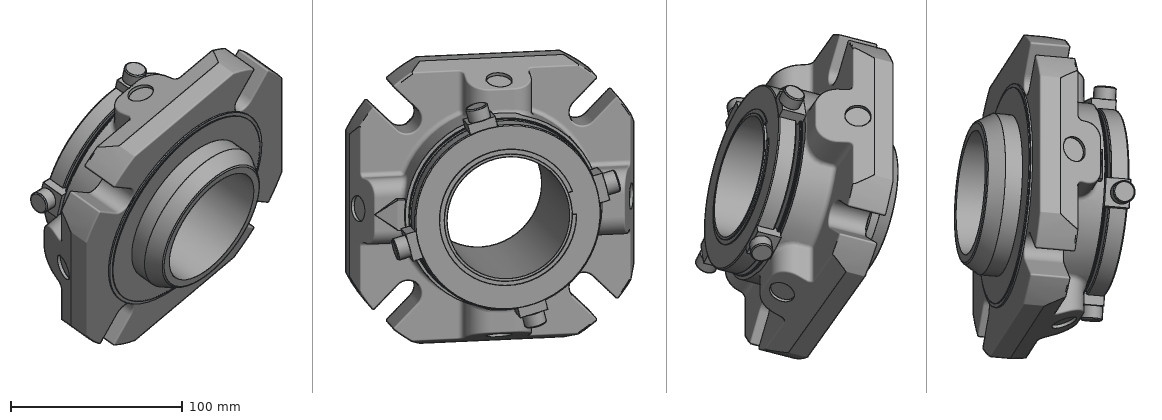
import cadquery as cq
import math

overall_length = 83.5
snap_ring_front = 0.8
clamp_front = 1.5
tab_front = 1.7
clamp_back = 12.7
lip_front = 14.5
lip_back = 16.1
tab_back = 16.6
body_front = 16.8
boss_front = 17.5
short_boss_front = 23.2
flange_front = 38.1
slope_end = 49.6
flange_back = 62.0
spigot_back = 63.0
gasket_back = 63.7
neck_taper_start = 73.9

bore_diameter = 73.0
sleeve_diameter = 76.2
snap_ring_diameter = 81.7
snap_ring_gap_angle = 20.0
clamp_diameter = 111.1
clamp_chamfer = 0.7
lip_diameter = 112.7
lip_chamfer = 0.5
groove_diameter = 110.1
body_diameter = 116.2
spigot_diameter = 131.5
gasket_diameter = 127.0
neck_diameter = 94.9
neck_end_diameter = 83.4
neck_end_chamfer = 0.7

flange_width = 169.5
flange_corner_diameter = 189.8
slope_angle = 20.0
slot_width = 16.6
slot_center_radius = 74.0
edge_round = 1.0

boss_width = 39.0
boss_corner_radius = 12.5
short_boss_corner_radius = 9.3
base_fillet = 2.9
port_diameter = 15.2
port_depth = 2.0
z_port_station = 27.3
y_port_station = 40.7

plate_front = 19.0
plate_base = 55.9
plate_shoulder = 62.0
plate_half_width = 9.1

tab_angle = 15.0
tab_width = 17.0
tab_inner_radius = 52.9
tab_outer_radius = 60.7
screw_diameter = 13.0
screw_station = 7.0
screw_top_radius = 68.6
screw_chamfer = 0.7

half_width = flange_width / 2
corner_radius = flange_corner_diameter / 2
slot_inner_radius = slot_center_radius - slot_width / 2
slope = math.tan(math.radians(slope_angle))
tolerance = 0.08


def disc(diameter, start, end):
    """Solid cylinder on the X axis between two stations."""
    return cq.Workplane("YZ").workplane(offset=start).circle(diameter / 2).extrude(end - start)


def turned(shape, angle):
    """Shape turned about the X axis, from +Z toward -Y for positive angles."""
    return shape.rotate((0, 0, 0), (1, 0, 0), angle)


def slope_height(station):
    """Distance of a sloping side from the X axis at a station."""
    return half_width - (slope_end - station) * slope


def boss(front, front_corner_radius):
    """Boss running from the X axis to the +Z side of the flange."""
    length = flange_back - front
    return (
        cq.Workplane("XY")
        .center(front + length / 2, 0)
        .rect(length, boss_width)
        .extrude(half_width)
        .edges("|Z and <X")
        .fillet(front_corner_radius)
    )


def side_cut():
    """Wedge that leaves the slope on the +Z side."""
    return (
        cq.Workplane("XZ")
        .moveTo(0, slope_height(0))
        .lineTo(slope_end, half_width)
        .lineTo(0, half_width)
        .close()
        .extrude(half_width, both=True)
    )


def bolt_slot():
    """Slot open toward +Z, with a round inner end."""
    length = flange_width
    return (
        cq.Workplane("YZ")
        .center(0, slot_center_radius + length / 2)
        .slot2D(length + slot_width, slot_width, 90)
        .extrude(overall_length)
    )


def port(station):
    """Round recess square to the +Z slope, centered at a station."""
    return (
        cq.Workplane("XY")
        .circle(port_diameter / 2)
        .extrude(port_depth, both=True)
        .rotate((0, 0, 0), (0, 1, 0), -slope_angle)
        .translate((station, 0, slope_height(station)))
    )


def edge_points(edge):
    """Start, middle and end of an edge."""
    return [edge.positionAt(t) for t in (0, 0.5, 1)]


def axis_distance(point):
    """Distance of a point from the X axis."""
    return math.hypot(point.y, point.z)


def at_station(points, station):
    """True when all points lie at one station."""
    return all(abs(p.x - station) < tolerance for p in points)


def is_base_edge(edge):
    """True for the inside corners between flange, body and bosses."""
    points = edge_points(edge)
    middle = points[1]
    if at_station(points, flange_front):
        inside_sides = max(abs(middle.y), abs(middle.z)) < half_width - tolerance
        return inside_sides and axis_distance(middle) < corner_radius - tolerance
    on_body = all(abs(axis_distance(p) - body_diameter / 2) < tolerance for p in points)
    return on_body and not at_station(points, 0) and not at_station(points, flange_back)


def is_outer_edge(edge):
    """True for edges to round: slopes, bosses, slots, slot mouths and both flange outlines."""
    points = edge_points(edge)
    start, middle, end = points
    heights = [max(abs(p.y), abs(p.z)) for p in points]
    on_slope = all(abs(h - slope_height(p.x)) < tolerance for h, p in zip(heights, points))
    near_diagonal = min(abs(middle.y), abs(middle.z)) > boss_width
    along_axis = math.hypot(start.y - end.y, start.z - end.z) < tolerance
    at_rim = axis_distance(middle) > corner_radius - tolerance
    if at_station(points, flange_back) or (along_axis and at_rim and near_diagonal):
        return True
    if at_station(points, flange_front):
        around_slot = near_diagonal and axis_distance(middle) > slot_inner_radius - tolerance
        return on_slope or around_slot
    return on_slope and max(p.x for p in points) < flange_front


gland = (
    cq.Workplane("YZ")
    .workplane(offset=flange_front)
    .rect(flange_width, flange_width)
    .extrude(flange_back - flange_front)
    .intersect(disc(flange_corner_diameter, flange_front, flange_back))
)
gland = gland.union(turned(disc(body_diameter, 0, flange_back), 90))
for angle in (0, 90, 180):
    gland = gland.union(turned(boss(boss_front, boss_corner_radius), angle))
gland = gland.union(turned(boss(short_boss_front, short_boss_corner_radius), 270))

base_edges = [edge for edge in gland.edges().vals() if is_base_edge(edge)]
gland = gland.newObject(base_edges).fillet(base_fillet)
gland = gland.cut(disc(flange_width, 0, body_front))

for angle in range(0, 360, 90):
    gland = gland.cut(turned(side_cut(), angle))
    gland = gland.cut(turned(bolt_slot(), angle + 45))

outer_edges = [edge for edge in gland.edges().vals() if is_outer_edge(edge)]
gland = gland.newObject(outer_edges).fillet(edge_round)

for angle in (0, 180):
    gland = gland.cut(turned(port(z_port_station), angle))
    gland = gland.cut(turned(port(y_port_station), angle + 90))

plate_tip = slope_height(short_boss_front)
plate_wedge = (
    cq.Workplane("XY")
    .moveTo(short_boss_front, plate_base)
    .lineTo(plate_front, plate_base)
    .lineTo(plate_front, plate_shoulder)
    .lineTo(short_boss_front, plate_tip)
    .close()
    .extrude(plate_half_width, both=True)
)
plate_outline = (
    cq.Workplane("YZ")
    .moveTo(plate_base, -plate_half_width)
    .lineTo(plate_shoulder, -plate_half_width)
    .lineTo(plate_tip, 0)
    .lineTo(plate_shoulder, plate_half_width)
    .lineTo(plate_base, plate_half_width)
    .close()
    .extrude(flange_front)
)
gland = gland.union(plate_wedge.intersect(plate_outline))

lip = disc(lip_diameter, lip_front, lip_back).edges().chamfer(lip_chamfer)
gland = gland.union(lip).union(disc(groove_diameter, lip_back, body_front))

gland = gland.union(disc(spigot_diameter, flange_back, spigot_back))
gland = gland.union(disc(gasket_diameter, spigot_back, gasket_back))
neck = (
    cq.Workplane("XY")
    .moveTo(gasket_back, 0)
    .lineTo(gasket_back, neck_diameter / 2)
    .lineTo(neck_taper_start, neck_diameter / 2)
    .lineTo(overall_length, neck_end_diameter / 2)
    .lineTo(overall_length, 0)
    .close()
    .revolve(360, (0, 0, 0), (1, 0, 0))
    .faces(">X")
    .edges()
    .chamfer(neck_end_chamfer)
)
gland = gland.union(neck)

sleeve = disc(sleeve_diameter, 0, overall_length)
clamp = disc(clamp_diameter, clamp_front, clamp_back).edges().chamfer(clamp_chamfer)
snap_ring_gap = (
    cq.Workplane("YZ")
    .workplane(offset=snap_ring_front)
    .lineTo(-snap_ring_diameter, 0)
    .lineTo(-snap_ring_diameter, snap_ring_diameter * math.tan(math.radians(snap_ring_gap_angle)))
    .close()
    .extrude(clamp_front - snap_ring_front)
)
snap_ring = disc(snap_ring_diameter, snap_ring_front, clamp_front).cut(snap_ring_gap)
seal = gland.union(clamp).union(snap_ring).union(sleeve)

tab = (
    cq.Workplane("XY")
    .workplane(offset=tab_inner_radius)
    .center((tab_front + tab_back) / 2, 0)
    .rect(tab_back - tab_front, tab_width)
    .extrude(tab_outer_radius - tab_inner_radius)
)
screw = (
    cq.Workplane("XY")
    .workplane(offset=tab_outer_radius)
    .center(screw_station, 0)
    .circle(screw_diameter / 2)
    .extrude(screw_top_radius - tab_outer_radius)
    .faces(">Z")
    .chamfer(screw_chamfer)
)
tab_with_screw = tab.union(screw)
for angle in range(0, 360, 90):
    seal = seal.union(turned(tab_with_screw, angle - tab_angle))

result = seal.cut(disc(bore_diameter, 0, overall_length))